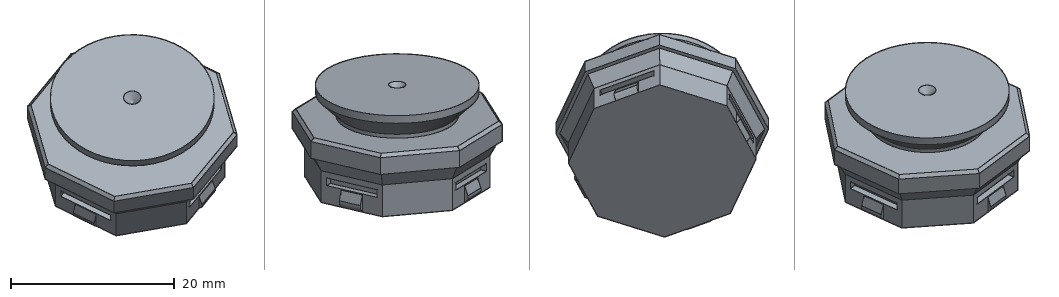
import cadquery as cq
import math

TOTAL_HEIGHT = 12.8
DISC_THICKNESS = 1.0
NECK_HEIGHT = 0.5
DECK_TOP = 8.8
DECK_BOTTOM = 6.2
SKIRT_TOP = 4.2

DECK_WIDTH = 24
TAPER_WIDTH = 23.14
SKIRT_WIDTH = 21.2
DECK_CHAMFER = 0.4

DISC_DIAMETER = 20.0
NECK_DIAMETER = 15.0
DIMPLE_DIAMETER = 2.1
DIMPLE_DEPTH = DIMPLE_DIAMETER / 2

SLOT_LENGTH = 7.2
SLOT_BOTTOM = 2.4
SLOT_HEIGHT = 1.0
SLOT_DEPTH = 0.86
CLIP_WIDTH = 3.02
CLIP_TOP = 2.25
CLIP_REACH = 0.45
CLIP_NOSE_TOP = 1.0
CLIP_NOSE_BOTTOM = 0.55
CLIP_NOSE_RADIUS = 0.5
CLIP_ROOT = 0.25

SIDES = 8
CLIP_FACES = 4
CORNER_RATIO = 1 / math.cos(math.pi / SIDES)


def octagon(plane, width):
    """Add a regular octagon with flats facing X and Y to the workplane."""
    corner_radius = width / 2 * CORNER_RATIO
    angles = [(i + 0.5) * 2 * math.pi / SIDES for i in range(SIDES)]
    corners = [(corner_radius * math.cos(a), corner_radius * math.sin(a)) for a in angles]
    return plane.polyline(corners).close()


def make_body():
    skirt = octagon(cq.Workplane("XY"), SKIRT_WIDTH).extrude(SKIRT_TOP)

    taper = octagon(cq.Workplane("XY").workplane(offset=SKIRT_TOP), SKIRT_WIDTH)
    taper = octagon(taper.workplane(offset=DECK_BOTTOM - SKIRT_TOP), TAPER_WIDTH).loft(ruled=True)

    deck = octagon(cq.Workplane("XY").workplane(offset=DECK_BOTTOM), DECK_WIDTH)
    deck = deck.extrude(DECK_TOP - DECK_BOTTOM).faces(">Z").chamfer(DECK_CHAMFER)
    return skirt.union(taper).union(deck)


def make_head():
    """Neck, flared cone and disc with a conical dimple, turned about Z."""
    neck_radius = NECK_DIAMETER / 2
    disc_radius = DISC_DIAMETER / 2
    return (
        cq.Workplane("XZ")
        .moveTo(0, DECK_TOP)
        .lineTo(neck_radius, DECK_TOP)
        .lineTo(neck_radius, DECK_TOP + NECK_HEIGHT)
        .lineTo(disc_radius, TOTAL_HEIGHT - DISC_THICKNESS)
        .lineTo(disc_radius, TOTAL_HEIGHT)
        .lineTo(DIMPLE_DIAMETER / 2, TOTAL_HEIGHT)
        .lineTo(0, TOTAL_HEIGHT - DIMPLE_DEPTH)
        .close()
        .revolve(360, (0, 0, 0), (0, 1, 0))
    )


def make_slot():
    """Cutter for the slot in the +X skirt face."""
    center = (SKIRT_WIDTH / 2 - SLOT_DEPTH / 2, 0, SLOT_BOTTOM + SLOT_HEIGHT / 2)
    return cq.Workplane("XY").box(SLOT_DEPTH, SLOT_LENGTH, SLOT_HEIGHT).translate(center)


def make_clip():
    """Wedge-shaped snap clip on the +X skirt face, rounded where the lead-in meets the nose."""
    wall = SKIRT_WIDTH / 2
    profile = [
        (wall - CLIP_ROOT, 0),
        (wall, 0),
        (wall + CLIP_REACH, CLIP_NOSE_BOTTOM),
        (wall + CLIP_REACH, CLIP_NOSE_TOP),
        (wall, CLIP_TOP),
        (wall - CLIP_ROOT, CLIP_TOP),
    ]
    wedge = cq.Workplane("XZ").polyline(profile).close().extrude(CLIP_WIDTH / 2, both=True)
    nose_corner = cq.selectors.NearestToPointSelector((wall + CLIP_REACH, 0, CLIP_NOSE_BOTTOM))
    return wedge.edges("|Y").edges(nose_corner).fillet(CLIP_NOSE_RADIUS)


result = make_body().union(make_head())
slot = make_slot()
clip = make_clip()
for face in range(CLIP_FACES):
    turn = face * 360 / CLIP_FACES
    result = result.cut(slot.rotate((0, 0, 0), (0, 0, 1), turn))
    result = result.union(clip.rotate((0, 0, 0), (0, 0, 1), turn))